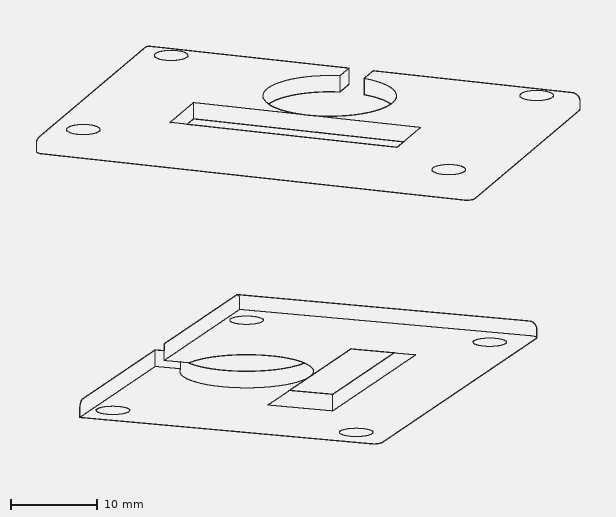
import cadquery as cq

length = 54.0
width = 37.0
thickness = 2.0
edge_radius = thickness / 2

hole_diameter = 3.9
hole_inset_x = 4.5
hole_spacing_y = 30.0
front_hole_inset_y = 4.5

opening_diameter = 15.5
slot_width = 2.95

window_length = 27.95
window_width = 8.0
web_thickness = 0.01

front_y = -width / 2
back_y = width / 2


def make_plate():
    """Plate rounded at the front corners and along the top edges, square at the back."""
    plate = cq.Workplane("XY").box(length, width, thickness, centered=(True, True, False))
    plate = plate.edges("|Z and <Y").fillet(edge_radius)
    rounded_top_edges = plate.faces(">Z").edges("not >Y")
    return rounded_top_edges.fillet(edge_radius)


def cut_screw_holes(plate):
    hole_x = length / 2 - hole_inset_x
    front_hole_y = front_y + front_hole_inset_y
    back_hole_y = front_hole_y + hole_spacing_y
    centers = [(x, y) for x in (-hole_x, hole_x) for y in (front_hole_y, back_hole_y)]
    holes = cq.Workplane("XY").pushPoints(centers).circle(hole_diameter / 2).extrude(thickness)
    return plate.cut(holes)


def cut_slotted_opening(plate):
    opening_y = web_thickness + opening_diameter / 2
    slot_length = back_y - opening_y
    opening = cq.Workplane("XY").center(0, opening_y).circle(opening_diameter / 2).extrude(thickness)
    slot = (
        cq.Workplane("XY")
        .center(0, opening_y + slot_length / 2)
        .rect(slot_width, slot_length)
        .extrude(thickness)
    )
    return plate.cut(opening).cut(slot)


def cut_window(plate):
    window_y = -window_width / 2
    window = cq.Workplane("XY").center(0, window_y).rect(window_length, window_width).extrude(thickness)
    return plate.cut(window)


result = cut_window(cut_slotted_opening(cut_screw_holes(make_plate())))